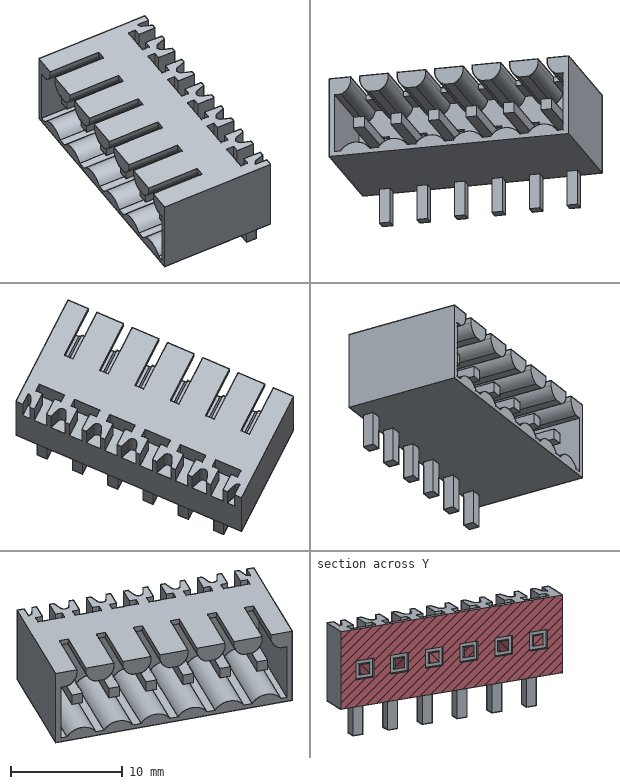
import cadquery as cq
import math

POLES = 6
LENGTH = 22.4
END_MARGIN = 2.45
PITCH = (LENGTH - 2 * END_MARGIN) / (POLES - 1)
DEPTH = 11.05
TOTAL_HEIGHT = 10.65
LEG_LENGTH = 3.23
HEIGHT = TOTAL_HEIGHT - LEG_LENGTH

CAVITY_DEPTH = 8.06
SIDE_WALL = 0.52
FLOOR_THICKNESS = 0.43
CEILING_THICKNESS = 0.5
FLOOR_RIB_WIDTH = 2.73
FLOOR_RIB_RISE = 0.72
TONGUE_DROP = 1.57
TONGUE_FLAT = 0.9
TONGUE_BULGE = 0.18
CODING_SLOT_WIDTH = 0.85
CODING_SLOT_LENGTH = 5.06

RECESS_SIZE = 1.75
RECESS_DEPTH = 0.45

REAR_CUT_DEPTH = 2.46
T_STEM_WIDTH = 1.2
T_STEM_LENGTH = 1.7
T_BAR_WIDTH = 2.5
T_BAR_LENGTH = 0.72
NOTCH_WIDTH = 1.4
NOTCH_DEPTH = 1.15
NOTCH_RADIUS = 0.43

PIN_SIZE = 1.0
PIN_TIP_INSET = 1.2
PIN_AXIS_HEIGHT = 3.47
LEG_REAR_INSET = 0.35

PIN_POSITIONS = [(i - (POLES - 1) / 2) * PITCH for i in range(POLES)]
GAP_POSITIONS = [(i - POLES / 2) * PITCH for i in range(POLES + 1)]


def box(x_center, width, y_start, y_end, z_start, z_end):
    """Block centred on x_center, given by its limits along y and z."""
    return (
        cq.Workplane("XY", origin=(x_center, y_start, z_start))
        .box(width, y_end - y_start, z_end - z_start, centered=(True, False, False))
    )


def bulged_point(start, end, bulge):
    """Middle point of an arc that lies to the right of the chord from start to end."""
    dx = end[0] - start[0]
    dz = end[1] - start[1]
    chord = math.hypot(dx, dz)
    return (
        (start[0] + end[0]) / 2 + bulge * dz / chord,
        (start[1] + end[1]) / 2 - bulge * dx / chord,
    )


def make_cavity():
    """Mating space with ribs along its floor and round-sided tongues along its ceiling."""
    half_length = LENGTH / 2 - SIDE_WALL
    low = FLOOR_THICKNESS
    tongue_bottom = HEIGHT - TONGUE_DROP
    ceiling = HEIGHT - CEILING_THICKNESS
    half_slot = CODING_SLOT_WIDTH / 2
    half_opening = (PITCH - TONGUE_FLAT) / 2

    outline = cq.Workplane("XZ").moveTo(-half_length, low)
    for x in PIN_POSITIONS:
        outline = outline.lineTo(x - FLOOR_RIB_WIDTH / 2, low)
        outline = outline.threePointArc((x, low + FLOOR_RIB_RISE), (x + FLOOR_RIB_WIDTH / 2, low))
    outline = outline.lineTo(half_length, low).lineTo(half_length, tongue_bottom)
    for x in reversed(PIN_POSITIONS):
        right_bottom = (x + half_opening, tongue_bottom)
        right_top = (x + half_slot, ceiling)
        left_top = (x - half_slot, ceiling)
        left_bottom = (x - half_opening, tongue_bottom)
        outline = outline.lineTo(*right_bottom)
        outline = outline.threePointArc(bulged_point(right_top, right_bottom, TONGUE_BULGE), right_top)
        outline = outline.lineTo(*left_top)
        outline = outline.threePointArc(bulged_point(left_bottom, left_top, TONGUE_BULGE), left_bottom)
    outline = outline.lineTo(-half_length, tongue_bottom).close()
    return outline.extrude(-CAVITY_DEPTH)


def make_coding_slot(x):
    """Slot through the ceiling, open at the mating face."""
    return box(x, CODING_SLOT_WIDTH, 0, CODING_SLOT_LENGTH, HEIGHT - TONGUE_DROP, HEIGHT)


def make_pin_recess(x):
    """Square recess in the rear wall of the cavity."""
    z = PIN_AXIS_HEIGHT
    half = RECESS_SIZE / 2
    return box(x, RECESS_SIZE, CAVITY_DEPTH, CAVITY_DEPTH + RECESS_DEPTH, z - half, z + half)


def make_t_slot(x):
    """Blind T-shaped slot, open to the top and rear."""
    floor = HEIGHT - REAR_CUT_DEPTH
    bar_rear = DEPTH - T_STEM_LENGTH
    stem = box(x, T_STEM_WIDTH, bar_rear, DEPTH, floor, HEIGHT)
    bar = box(x, T_BAR_WIDTH, bar_rear - T_BAR_LENGTH, bar_rear, floor, HEIGHT)
    return stem.union(bar)


def make_notch(x):
    """Tapered notch whose straight sides run tangentially into a round bottom."""
    half_width = NOTCH_WIDTH / 2
    arc_center_y = DEPTH - NOTCH_DEPTH + NOTCH_RADIUS
    center_to_corner = math.hypot(half_width, DEPTH - arc_center_y)
    corner_angle = math.atan2(DEPTH - arc_center_y, half_width)
    tangent_angle = corner_angle - math.acos(NOTCH_RADIUS / center_to_corner)
    tangent_x = NOTCH_RADIUS * math.cos(tangent_angle)
    tangent_y = arc_center_y + NOTCH_RADIUS * math.sin(tangent_angle)
    return (
        cq.Workplane("XY", origin=(x, 0, HEIGHT))
        .moveTo(-half_width, DEPTH)
        .lineTo(-tangent_x, tangent_y)
        .threePointArc((0, DEPTH - NOTCH_DEPTH), (tangent_x, tangent_y))
        .lineTo(half_width, DEPTH)
        .close()
        .extrude(-REAR_CUT_DEPTH)
    )


def make_pin(x):
    """Square pin bent downwards behind the cavity."""
    rear = DEPTH - LEG_REAR_INSET
    top = PIN_AXIS_HEIGHT + PIN_SIZE / 2
    contact = box(x, PIN_SIZE, PIN_TIP_INSET, rear, top - PIN_SIZE, top)
    leg = box(x, PIN_SIZE, rear - PIN_SIZE, rear, -LEG_LENGTH, top)
    return contact.union(leg)


def make_housing(pins):
    """Housing with a matching passage for every pin."""
    housing = box(0, LENGTH, 0, DEPTH, 0, HEIGHT).cut(make_cavity())
    for x in PIN_POSITIONS:
        housing = housing.cut(make_coding_slot(x))
        housing = housing.cut(make_pin_recess(x))
        housing = housing.cut(make_t_slot(x))

    notch_span = GAP_POSITIONS[-1] - GAP_POSITIONS[0]
    notch_zone = box(0, notch_span, 0, DEPTH, 0, HEIGHT)
    for x in GAP_POSITIONS:
        housing = housing.cut(make_notch(x).intersect(notch_zone))

    for pin in pins:
        housing = housing.cut(pin)
    return housing


pins = [make_pin(x) for x in PIN_POSITIONS]
housing = make_housing(pins)

result = cq.Compound.makeCompound([housing.val(), *[pin.val() for pin in pins]])